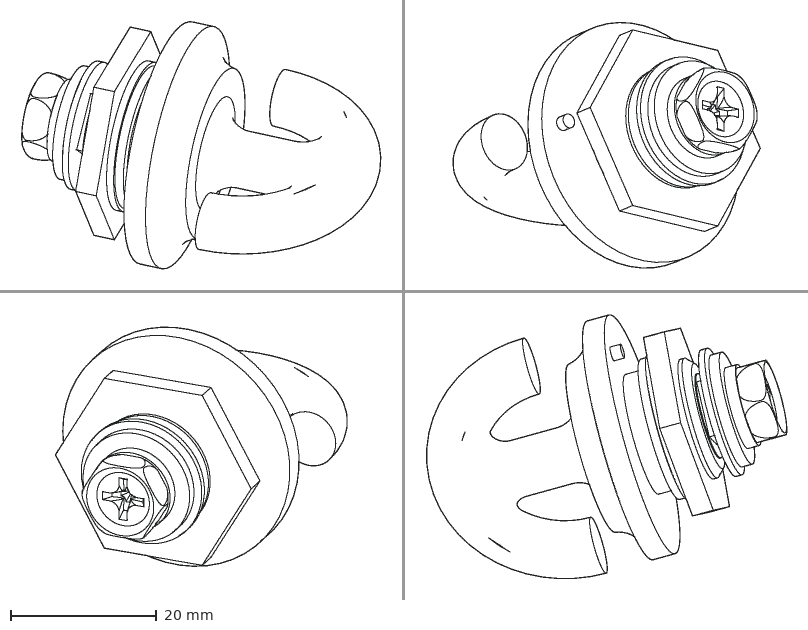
import cadquery as cq
import math

TOTAL_LENGTH = 49.3

HEAD_FLATS = 10.6
HEAD_CORNER_RADIUS = 6.05
HEAD_LENGTH = 3.9
HEAD_END_RADIUS = 5.45
HEAD_TAPER_LENGTH = 3.6
HEAD_TAPER_RADIUS = 5.6
COLLAR_RADIUS = 5.75
COLLAR_END_X = 5.5
SHANK_RADIUS = 3.0
SHANK_END_X = 14.8
DISH_RIM_RADIUS = 5.05
DISH_FLOOR_RADIUS = 3.95
DISH_DEPTH = 1.0

CROSS_HALF_SPAN = 3.1
CROSS_FLOOR_HALF_SPAN = 2.3
CROSS_HALF_WIDTH = 0.6
CROSS_DEPTH = 1.5
CROSS_CENTRE_EXTRA_DEPTH = 0.25
STAR_HALF_SPAN = 2.05
STAR_DEPTH = 2.95
STAR_FLOOR_SCALE = 0.1

SPRING_WASHER_RADIUS = 8.0
SPRING_WASHER_END_X = 7.0
FLAT_WASHER_RADIUS = 9.0
FLAT_WASHER_START_X = 7.3
FLAT_WASHER_END_X = 8.2

SQUARE_CORNER_RADIUS = 5.65
SQUARE_END_X = 9.5
SHAFT_RADIUS = 6.0
HOUSING_START_X = 9.65
BARREL_RADIUS = 8.55
BARREL_CHAMFER = 1.05
FLANGE_RADIUS = 17.0
FLANGE_START_X = 19.2
FLANGE_END_X = 22.35
BELL_END_X = 26.4
BELL_START_RADIUS = 16.75
BELL_END_RADIUS = 12.0
PIN_RADIUS = 1.0
PIN_OFFSET_Y = 13.45
PIN_LENGTH = 1.5

NUT_FLATS = 25.4
NUT_START_X = 11.3
NUT_END_X = 14.3
LOCK_RING_RADIUS = 10.5
LOCK_RING_END_X = 15.35
GASKET_RADIUS = 10.0
GASKET_END_X = 16.55

HOOK_OUTER_RADIUS = 19.005
TUBE_RADIUS = 4.0
BEND_RADIUS = 6.0
HOOK_RADIUS = HOOK_OUTER_RADIUS - TUBE_RADIUS
HOOK_CENTRE_X = TOTAL_LENGTH - HOOK_OUTER_RADIUS
BEND_CENTRE_DISTANCE = HOOK_RADIUS - BEND_RADIUS
STEM_REACH = math.sqrt(BEND_CENTRE_DISTANCE**2 - BEND_RADIUS**2)
STEM_END_X = HOOK_CENTRE_X + STEM_REACH
TANGENT_ANGLE = math.degrees(math.asin(BEND_RADIUS / BEND_CENTRE_DISTANCE))
JOIN_TOLERANCE = 0.0001


def cross_section(x):
    """Workplane across the X axis, facing +X, with local axes along Y and Z."""
    return cq.Workplane("YZ", origin=(x, 0, 0))


def cylinder(radius, start_x, end_x):
    return cross_section(start_x).circle(radius).extrude(end_x - start_x)


def ring(outer_radius, bore_radius, start_x, end_x):
    return cross_section(start_x).circle(outer_radius).circle(bore_radius).extrude(end_x - start_x)


def hexagon(flats, start_x, end_x):
    """Hexagonal prism with two corners on the Y axis."""
    corner_diameter = flats / math.cos(math.pi / 6)
    return cross_section(start_x).polygon(6, corner_diameter).extrude(end_x - start_x)


def square_prism(start_x, end_x):
    """Square prism with its corners on the Y and Z axes."""
    return cross_section(start_x).polygon(4, 2 * SQUARE_CORNER_RADIUS).extrude(end_x - start_x)


def spin(profile):
    """Revolve a closed (x, radius) profile about the X axis."""
    return profile.close().revolve(360, (0, 0, 0), (1, 0, 0))


def cross_arm():
    """One bar of the cross recess, with sloping ends and a floor that deepens to the centre."""
    floor_x = DISH_DEPTH + CROSS_DEPTH
    return (
        cq.Workplane("XY")
        .moveTo(DISH_DEPTH, -CROSS_HALF_SPAN)
        .lineTo(floor_x, -CROSS_FLOOR_HALF_SPAN)
        .lineTo(floor_x + CROSS_CENTRE_EXTRA_DEPTH, 0)
        .lineTo(floor_x, CROSS_FLOOR_HALF_SPAN)
        .lineTo(DISH_DEPTH, CROSS_HALF_SPAN)
        .close()
        .extrude(CROSS_HALF_WIDTH, both=True)
    )


def star_outline(plane, scale):
    """Four blunt points joined by concave arcs that round the inner corners of the cross."""
    tip = STAR_HALF_SPAN * scale
    half_width = CROSS_HALF_WIDTH * scale
    arc_middle = tip - (tip - half_width) * math.sqrt(0.5)
    return (
        plane.moveTo(tip, -half_width)
        .lineTo(tip, half_width)
        .threePointArc((arc_middle, arc_middle), (half_width, tip))
        .lineTo(-half_width, tip)
        .threePointArc((-arc_middle, arc_middle), (-tip, half_width))
        .lineTo(-tip, -half_width)
        .threePointArc((-arc_middle, -arc_middle), (-half_width, -tip))
        .lineTo(half_width, -tip)
        .threePointArc((arc_middle, -arc_middle), (tip, -half_width))
        .close()
    )


def cross_recess():
    star = star_outline(cross_section(DISH_DEPTH), 1.0)
    star = star_outline(star.workplane(offset=STAR_DEPTH), STAR_FLOOR_SCALE).loft(ruled=True)
    arm = cross_arm()
    return star.union(arm).union(arm.rotate((0, 0, 0), (1, 0, 0), 90))


def make_screw():
    rounding = HEAD_CORNER_RADIUS - DISH_RIM_RADIUS
    round_middle = rounding * math.sqrt(0.5)
    crown = spin(
        cq.Workplane("XY")
        .lineTo(0, DISH_RIM_RADIUS)
        .threePointArc(
            (rounding - round_middle, DISH_RIM_RADIUS + round_middle),
            (rounding, HEAD_CORNER_RADIUS),
        )
        .tangentArcPoint((HEAD_TAPER_LENGTH, HEAD_TAPER_RADIUS), relative=False)
        .lineTo(HEAD_LENGTH, HEAD_END_RADIUS)
        .lineTo(HEAD_LENGTH, 0)
    )
    dish = spin(
        cq.Workplane("XY")
        .lineTo(0, DISH_RIM_RADIUS)
        .lineTo(DISH_DEPTH, DISH_FLOOR_RADIUS)
        .lineTo(DISH_DEPTH, 0)
    )
    return (
        hexagon(HEAD_FLATS, 0, HEAD_LENGTH)
        .intersect(crown)
        .union(cylinder(COLLAR_RADIUS, HEAD_LENGTH, COLLAR_END_X))
        .union(cylinder(SHANK_RADIUS, COLLAR_END_X, SHANK_END_X))
        .cut(dish)
        .cut(cross_recess())
    )


def make_spring_washer():
    return ring(SPRING_WASHER_RADIUS, SHANK_RADIUS, COLLAR_END_X, SPRING_WASHER_END_X)


def make_flat_washer():
    """Washer with a square hole that fits the square end of the hook shaft."""
    disc = cylinder(FLAT_WASHER_RADIUS, FLAT_WASHER_START_X, FLAT_WASHER_END_X)
    return disc.cut(square_prism(FLAT_WASHER_START_X, FLAT_WASHER_END_X))


def make_nut():
    bore = cylinder(BARREL_RADIUS, NUT_START_X, NUT_END_X)
    return hexagon(NUT_FLATS, NUT_START_X, NUT_END_X).cut(bore)


def make_lock_ring():
    return ring(LOCK_RING_RADIUS, BARREL_RADIUS, NUT_END_X, LOCK_RING_END_X)


def make_gasket():
    return ring(GASKET_RADIUS, BARREL_RADIUS, LOCK_RING_END_X, GASKET_END_X)


def make_housing():
    """Chamfered barrel, flange and concave bell, bored for the shaft, with a locating pin."""
    bell_length = BELL_END_X - FLANGE_END_X
    bell_drop = BELL_START_RADIUS - BELL_END_RADIUS
    arc_radius = (bell_length**2 + bell_drop**2) / (2 * bell_length)
    half_turn = math.atan2(bell_drop, arc_radius - bell_length) / 2
    arc_middle = (
        FLANGE_END_X + arc_radius * (1 - math.cos(half_turn)),
        BELL_START_RADIUS - arc_radius * math.sin(half_turn),
    )
    body = spin(
        cq.Workplane("XY")
        .moveTo(HOUSING_START_X, SHAFT_RADIUS)
        .lineTo(HOUSING_START_X, BARREL_RADIUS - BARREL_CHAMFER)
        .lineTo(HOUSING_START_X + BARREL_CHAMFER, BARREL_RADIUS)
        .lineTo(FLANGE_START_X, BARREL_RADIUS)
        .lineTo(FLANGE_START_X, FLANGE_RADIUS)
        .lineTo(FLANGE_END_X, FLANGE_RADIUS)
        .lineTo(FLANGE_END_X, BELL_START_RADIUS)
        .threePointArc(arc_middle, (BELL_END_X, BELL_END_RADIUS))
        .lineTo(BELL_END_X, SHAFT_RADIUS)
    )
    pin = cylinder(PIN_RADIUS, FLANGE_START_X - PIN_LENGTH, FLANGE_START_X)
    return body.union(pin.translate((0, PIN_OFFSET_Y, 0)))


def shaft_and_stem():
    """Square end, round shaft, flared base and straight stem, bored for the screw shank."""
    base_end_x = BELL_END_X + TUBE_RADIUS
    flare_middle = TUBE_RADIUS * math.sqrt(0.5)
    turned = spin(
        cq.Workplane("XY")
        .moveTo(SQUARE_END_X, 0)
        .lineTo(SQUARE_END_X, SHAFT_RADIUS)
        .lineTo(BELL_END_X, SHAFT_RADIUS)
        .lineTo(BELL_END_X, 2 * TUBE_RADIUS)
        .threePointArc(
            (base_end_x - flare_middle, 2 * TUBE_RADIUS - flare_middle),
            (base_end_x, TUBE_RADIUS),
        )
        .lineTo(STEM_END_X, TUBE_RADIUS)
        .lineTo(STEM_END_X, 0)
    )
    square_end = square_prism(SPRING_WASHER_END_X, SQUARE_END_X)
    return turned.union(square_end).cut(cylinder(SHANK_RADIUS, SPRING_WASHER_END_X, SHANK_END_X))


def half_bar(start_x, start_y, bulge, turn_centre_y, angle):
    """Half-round bar swept about a Z axis at (start_x, turn_centre_y).

    Its flat side stands on the centre line. The round side points to +Y at the start if bulge is 1
    and to -Y if it is -1, and a negative angle turns clockwise as seen from above.
    """
    axis_end_z = math.copysign(1, angle)
    return (
        cross_section(start_x)
        .moveTo(start_y, -TUBE_RADIUS)
        .threePointArc((start_y + bulge * TUBE_RADIUS, 0), (start_y, TUBE_RADIUS))
        .close()
        .revolve(abs(angle), (turn_centre_y, 0), (turn_centre_y, axis_end_z))
    )


def hook_outside():
    """Outer half of the hook bar, which runs the whole half circle and opens towards the flange."""
    return half_bar(HOOK_CENTRE_X, HOOK_RADIUS, 1, 0, -180)


def free_end_inside():
    """Inner half of the +Y free end, as far as the bend."""
    return half_bar(HOOK_CENTRE_X, HOOK_RADIUS, -1, 0, TANGENT_ANGLE - 90)


def bend_inside():
    """Inner half of the +Y bend, from the end of the stem to the free end."""
    return half_bar(STEM_END_X, 0, 1, BEND_RADIUS, 90 + TANGENT_ANGLE)


def web():
    """Flat-faced filling between the centre lines of the two bends and the hook."""
    tangent = math.radians(TANGENT_ANGLE)
    tangent_x = HOOK_CENTRE_X + HOOK_RADIUS * math.cos(tangent)
    tangent_y = HOOK_RADIUS * math.sin(tangent)
    bend_middle = (math.pi / 2 - tangent) / 2
    middle_x = STEM_END_X + BEND_RADIUS * math.cos(bend_middle)
    middle_y = BEND_RADIUS * (1 - math.sin(bend_middle))
    return (
        cq.Workplane("XY")
        .moveTo(STEM_END_X, 0)
        .threePointArc((middle_x, middle_y), (tangent_x, tangent_y))
        .threePointArc((HOOK_CENTRE_X + HOOK_RADIUS, 0), (tangent_x, -tangent_y))
        .threePointArc((middle_x, -middle_y), (STEM_END_X, 0))
        .close()
        .extrude(TUBE_RADIUS, both=True)
    )


def make_hook():
    """Join the shaft, the hook bar and the web, which meet face to face along the centre lines."""
    pieces = [hook_outside().val(), web().val()]
    for half in (free_end_inside(), bend_inside()):
        pieces.append(half.val())
        pieces.append(half.mirror("XZ").val())
    return cq.Workplane(shaft_and_stem().val().fuse(*pieces, tol=JOIN_TOLERANCE))


screw = make_screw()
spring_washer = make_spring_washer()
flat_washer = make_flat_washer()
nut = make_nut()
lock_ring = make_lock_ring()
gasket = make_gasket()
housing = make_housing()
hook = make_hook()

result = cq.Compound.makeCompound(
    [
        screw.val(),
        spring_washer.val(),
        flat_washer.val(),
        nut.val(),
        lock_ring.val(),
        gasket.val(),
        housing.val(),
        hook.val(),
    ]
)